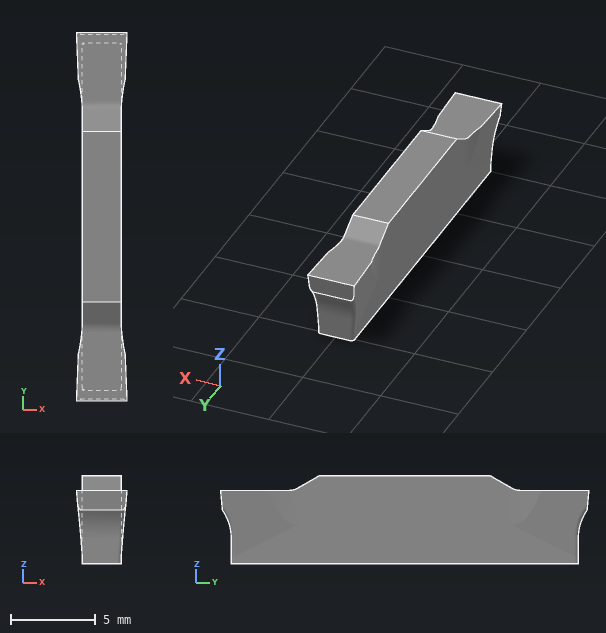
import cadquery as cq
import math

length = 21.7
height = 5.2
body_width = 2.3
tip_width = 3.0

land_height = 4.35
land_length = 4.05
ramp_angle = math.radians(30)
ramp_blend_radius = 1.0
clearance_inset = 0.1
clearance_bottom = 3.17
neck_inset = 0.63
neck_top = 1.52
neck_corner_radius = 0.22

back_taper = 0.04
side_taper = 0.08
head_length = 4.8
head_blend_radius = 8.9
head_blend_length = 2.06

half_length = length / 2
half_body = body_width / 2
half_tip = tip_width / 2


def concave_neck_middle():
    """Middle point of the neck arc, which ends vertically at the neck top."""
    rise = clearance_bottom - neck_top
    depth = neck_inset - clearance_inset
    radius = (rise**2 + depth**2) / (2 * depth)
    half_angle = math.asin(rise / radius) / 2
    inset = neck_inset - radius * (1 - math.cos(half_angle))
    return half_length - inset, neck_top + radius * math.sin(half_angle)


def half_profile():
    """Side outline of the +Y half, extruded wider than the part."""
    blend_end_inset = land_length + ramp_blend_radius * math.sin(ramp_angle)
    blend_end_z = land_height + ramp_blend_radius * (1 - math.cos(ramp_angle))
    blend_mid_inset = land_length + ramp_blend_radius * math.sin(ramp_angle / 2)
    blend_mid_z = land_height + ramp_blend_radius * (1 - math.cos(ramp_angle / 2))
    ramp_end_inset = blend_end_inset + (height - blend_end_z) / math.tan(ramp_angle)
    return (
        cq.Workplane("YZ")
        .moveTo(0, 0)
        .lineTo(half_length - neck_inset, 0)
        .lineTo(half_length - neck_inset, neck_top)
        .threePointArc(
            concave_neck_middle(),
            (half_length - clearance_inset, clearance_bottom),
        )
        .lineTo(half_length, land_height)
        .lineTo(half_length - land_length, land_height)
        .threePointArc(
            (half_length - blend_mid_inset, blend_mid_z),
            (half_length - blend_end_inset, blend_end_z),
        )
        .lineTo(half_length - ramp_end_inset, height)
        .lineTo(0, height)
        .close()
        .extrude(tip_width, both=True)
    )


def head_section(inset):
    """Full-height trapezoid across the head at a distance from the tip."""
    y = half_length - inset
    land_half_width = half_tip - back_taper * inset
    low = land_half_width - side_taper * land_height
    high = land_half_width + side_taper * (height - land_height)
    points = [(-low, y, 0), (low, y, 0), (high, y, height), (-high, y, height)]
    return cq.Wire.makePolygon([cq.Vector(*point) for point in points], close=True)


def tapered_head():
    """Head narrowing downward and inward, with a concave runout to the body."""
    sections = [head_section(0), head_section(head_length)]
    taper = cq.Workplane(cq.Solid.makeLoft(sections, ruled=True))
    root_y = half_length - head_length
    blend_y = root_y + head_blend_length

    def blend_x(distance):
        """Half-width of the runout at a distance from its root."""
        drop = math.sqrt(head_blend_radius**2 - distance**2)
        return half_body + head_blend_radius - drop

    wide_x = blend_x(head_blend_length)
    mid_x = blend_x(head_blend_length / 2)
    mid_y = root_y + head_blend_length / 2
    plan = (
        cq.Workplane("XY")
        .moveTo(-half_body, root_y)
        .lineTo(half_body, root_y)
        .threePointArc((mid_x, mid_y), (wide_x, blend_y))
        .lineTo(tip_width, half_length)
        .lineTo(-tip_width, half_length)
        .lineTo(-wide_x, blend_y)
        .threePointArc((-mid_x, mid_y), (-half_body, root_y))
        .close()
        .extrude(height)
    )
    return taper.intersect(plan)


def round_neck_corners(half):
    """Round both upright corners of the neck, from the base to the clearance face."""
    margin = 0.02
    corners = cq.selectors.BoxSelector(
        (-tip_width, half_length - neck_inset - margin, margin),
        (tip_width, half_length, clearance_bottom - margin),
    )
    return half.edges(corners).edges("not |X").fillet(neck_corner_radius)


body = cq.Workplane("XY").box(body_width, half_length, height, centered=(True, False, False))
half = body.union(tapered_head()).intersect(half_profile())
half = round_neck_corners(half)
result = half.union(half.mirror("XZ"))